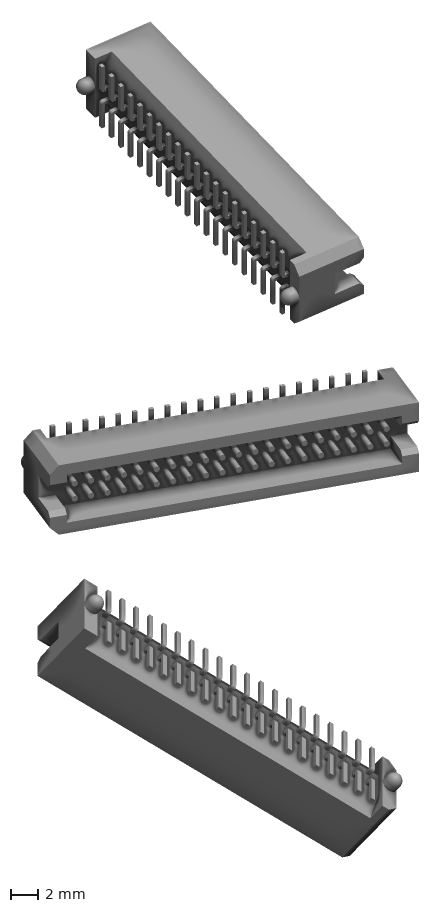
import cadquery as cq
import math


LENGTH = 28.57
HEIGHT = 5.77
DEPTH = 5.6
END_CHAMFER = 0.69

PEG_DIAMETER = 1.25
PEG_SHANK = 0.5

RECESS_LENGTH = 26.08
RECESS_CENTRE_X = -0.03
RECESS_FLOOR_Y = 0.49
RECESS_EDGE_Y = 1.45
CARRIER_HEIGHT = 2.17

MOUTH_DEPTH = 2.49
SLOT_HEIGHT = 1.97
SLOT_CHAMFER = 0.37
END_WALL = 1.3
CAVITY_HEIGHT = 4.0

CONTACTS_PER_ROW = 20
ROW_LENGTH = 24.15
ROW_SPACING = 1.25
PIN_DIAMETER = 0.45
PIN_TIP_GAP = 0.85
LEAD_WIDTH = 0.35
LEAD_THICKNESS = 0.29
LEAD_BEND_RADIUS = 0.25
LEAD_FRONT_Y = -0.17
LEAD_SPAN_Z = 5.97

PITCH = ROW_LENGTH / (CONTACTS_PER_ROW - 1)
MOUTH_FLOOR_Y = DEPTH - MOUTH_DEPTH
CARRIER_DEPTH = MOUTH_FLOOR_Y - RECESS_FLOOR_Y


def carrier_block():
    """Block between the wings, from the recess floor to the mouth floor."""
    return cq.Workplane("XY").box(
        RECESS_LENGTH, CARRIER_DEPTH, CARRIER_HEIGHT, centered=(True, False, True)
    ).translate((RECESS_CENTRE_X, RECESS_FLOOR_Y, 0))


def housing_blank():
    """Outer block with the two corners at the +X end chamfered."""
    blank = cq.Workplane("XY").box(LENGTH, DEPTH, HEIGHT, centered=(True, False, True))
    return blank.faces(">X").edges("|Y").chamfer(END_CHAMFER)


def lead_recess():
    """Cut between the wings whose floor slopes back above and below the carrier."""
    half_height = HEIGHT / 2
    half_carrier = CARRIER_HEIGHT / 2
    outline = [
        (0, -half_height),
        (RECESS_EDGE_Y, -half_height),
        (RECESS_FLOOR_Y, -half_carrier),
        (RECESS_FLOOR_Y, half_carrier),
        (RECESS_EDGE_Y, half_height),
        (0, half_height),
    ]
    recess = cq.Workplane("YZ").polyline(outline).close().extrude(RECESS_LENGTH / 2, both=True)
    return recess.translate((RECESS_CENTRE_X, 0, 0))


def end_slot():
    """Slot along the whole length, flared where it opens at the mouth."""
    half_slot = SLOT_HEIGHT / 2
    half_flare = half_slot + SLOT_CHAMFER
    outline = [
        (MOUTH_FLOOR_Y, -half_slot),
        (DEPTH - SLOT_CHAMFER, -half_slot),
        (DEPTH, -half_flare),
        (DEPTH, half_flare),
        (DEPTH - SLOT_CHAMFER, half_slot),
        (MOUTH_FLOOR_Y, half_slot),
    ]
    return cq.Workplane("YZ").polyline(outline).close().extrude(LENGTH / 2, both=True)


def mating_cavity():
    """Taller pocket between the end walls that receives the mating part."""
    return cq.Workplane("XY").box(
        LENGTH - 2 * END_WALL, MOUTH_DEPTH, CAVITY_HEIGHT, centered=(True, False, True)
    ).translate((0, MOUTH_FLOOR_Y, 0))


def locating_peg(x):
    """Round peg with a hemispherical end, pointing to -Y."""
    radius = PEG_DIAMETER / 2
    shoulder_y = -PEG_SHANK
    tip_y = shoulder_y - radius
    diagonal = radius * math.sqrt(0.5)
    profile = (
        cq.Workplane("XY")
        .lineTo(radius, 0)
        .lineTo(radius, shoulder_y)
        .threePointArc((diagonal, shoulder_y - diagonal), (0, tip_y))
        .close()
    )
    return profile.revolve(360, (0, 0, 0), (0, 1, 0)).translate((x, 0, 0))


def make_housing():
    """Housing with wings and pegs, open where the contact carrier fits."""
    body = housing_blank().cut(lead_recess()).cut(end_slot()).cut(mating_cavity())
    body = body.cut(carrier_block())
    peg_x = (LENGTH - PEG_DIAMETER) / 2
    for x in (-peg_x, peg_x):
        body = body.union(locating_peg(x))
    return body


def bent_lead(x):
    """Upper lead: out of the carrier toward -Y, then bent up, rounded outside the bend."""
    bottom_z = (ROW_SPACING - LEAD_THICKNESS) / 2
    top_z = bottom_z + LEAD_THICKNESS
    back_y = LEAD_FRONT_Y + LEAD_THICKNESS
    outline = [
        (RECESS_FLOOR_Y, bottom_z),
        (LEAD_FRONT_Y, bottom_z),
        (LEAD_FRONT_Y, LEAD_SPAN_Z / 2),
        (back_y, LEAD_SPAN_Z / 2),
        (back_y, top_z),
        (RECESS_FLOOR_Y, top_z),
    ]
    lead = cq.Workplane("YZ").polyline(outline).close().extrude(LEAD_WIDTH / 2, both=True)
    lead = lead.edges("|X and <Y and <Z").fillet(LEAD_BEND_RADIUS)
    return lead.translate((x, 0, 0))


def round_pin(x):
    """Upper round pin, from the carrier into the mating cavity."""
    pin_length = MOUTH_DEPTH - PIN_TIP_GAP
    pin = cq.Workplane("XZ").circle(PIN_DIAMETER / 2).extrude(-pin_length)
    return pin.translate((x, MOUTH_FLOOR_Y, ROW_SPACING / 2))


def make_contact_set():
    """Carrier with both rows of contacts, the lower row mirroring the upper one."""
    body = carrier_block()
    first_x = RECESS_CENTRE_X - ROW_LENGTH / 2
    for index in range(CONTACTS_PER_ROW):
        x = first_x + index * PITCH
        for feature in (bent_lead(x), round_pin(x)):
            body = body.union(feature).union(feature.mirror("XY"))
    return body


housing = make_housing()
contact_set = make_contact_set()

result = cq.Compound.makeCompound([housing.val(), contact_set.val()])